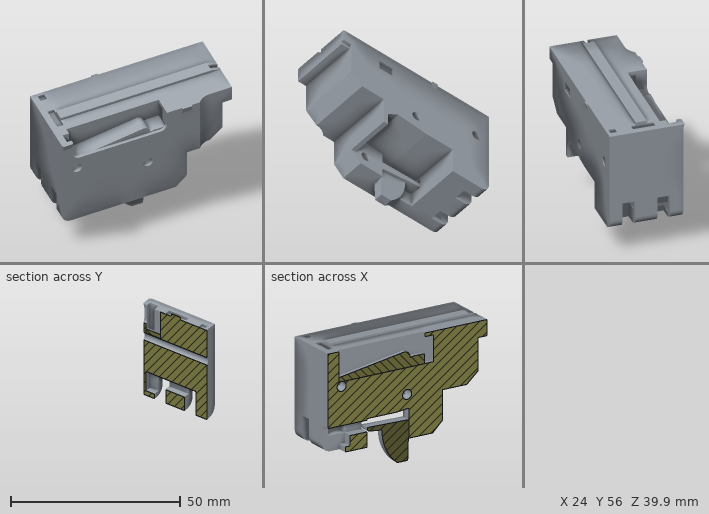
import cadquery as cq


width = 23.0
depth = 56.0
height = 32.1
wall = 1.0
front_wall = 2.1
rear_face_y = 53.0
lip_bottom_z = 26.9
lip_rebate_z = 27.9
rear_chamfer_run = 4.1
rear_chamfer_bottom_z = 12.95
rear_chamfer_top_z = 16.5
leg_back_y = 40.5
leg_chamfer_run = 3.6
leg_chamfer_z = 3.5
front_round = 3.0

bite_depth = 1.95
bite_start_y = 48.7
bite_end_y = 44.75

rail_x0 = 9.5
rail_x1 = 13.0
rail_height = 0.9
rail_front_y = 4.1
rail_ramp = 3.0
rail_slot_width = 1.35
rail_slot_depth = 1.0

top_pocket_depth = 1.0
label_pocket_x0 = 8.0
label_pocket_x1 = 15.0
square_pocket = 2.0

snap_reach = 0.5
snap_height = 2.0
left_snap_y = 21.05
left_snap_length = 2.0
right_snap_length = 3.1
right_snap_ys = (1.85, 40.5)

hole_radius = 1.5
cross_holes = ((4.9, 20.95), (27.95, 13.95))
window_y0 = 36.9
window_y1 = 42.1
window_z0 = 25.05
window_z1 = 28.0

recess_depth = 15.0
recess_front_y = 13.95
recess_top_z = 9.0
recess_peak_y = 35.05
recess_peak_z = 10.0
recess_bend_y = 24.0
recess_rear_y = 39.0
recess_rear_z = 7.7
pivot_z = 4.0
bay_back_y = 28.45

slot_width = 3.9
slot_height = 8.5
slot_depth = 6.15
cavity_back_y = 7.85
left_slot_x = 4.1
right_slot_x = recess_depth
ledge_z = 5.0
right_floor_z = 1.75

lever_x0 = 17.0
lever_x1 = width - wall
lever_nose_x0 = 18.9
lever_front_y = 4.1
lever_back_y = 34.05
lever_bottom_z = 22.5
lever_front_z = 23.95
lever_peak_y = 26.9
lever_peak_z = 27.55
lever_round = 2.2
lever_step_y = 30.3
lever_flat_z = 25.65
bay_window_x1 = 19.7
bay_window_top_z = 30.8
bay_window_depth = 3.0
notch_front_y = 3.6
notch_depth = 7.0
notch_round = 2.0

bar_top_front_z = 6.3
bar_top_back_z = 6.0
bar_bottom_front_z = 5.0
bar_bottom_back_z = 3.25
bar_toe_run = 0.35
bar_toe_rise = 0.5
fin_x0 = 15.85
fin_x1 = 18.75
fin_drop = 6.9
fin_tip_y = 24.5
fin_front_y = 19.05
fin_taper = 0.2
fin_arc_mid = (20.8, -2.6)


def box(x0, x1, y0, y1, z0, z1):
    return cq.Workplane("XY").box(x1 - x0, y1 - y0, z1 - z0, centered=False).translate((x0, y0, z0))


def side_plate(x0, x1, outline):
    """Extrude a closed (y, z) outline from x0 to x1."""
    return outline.close().extrude(x1 - x0).translate((x0, 0, 0))


def side_sketch(y, z):
    return cq.Workplane("YZ").moveTo(y, z)


def cross_cylinder(y, z, length):
    return side_sketch(y, z).circle(hole_radius).extrude(length)


def housing_shell():
    body = side_plate(0, width, (
        side_sketch(front_round, 0)
        .lineTo(leg_back_y - leg_chamfer_run, 0)
        .lineTo(leg_back_y, leg_chamfer_z)
        .lineTo(leg_back_y, rear_chamfer_bottom_z)
        .lineTo(rear_face_y - rear_chamfer_run, rear_chamfer_bottom_z)
        .lineTo(rear_face_y, rear_chamfer_top_z)
        .lineTo(rear_face_y, lip_bottom_z)
        .lineTo(depth, lip_bottom_z)
        .lineTo(depth, height)
        .lineTo(0, height)
        .lineTo(0, front_round)
        .radiusArc((front_round, 0), -front_round)
    ))
    return body.cut(box(0, wall, rear_face_y, depth, lip_bottom_z, lip_rebate_z))


def corner_bite():
    """Rear +X corner set back, blending out through a concave arc."""
    face_x = width - bite_depth
    arc_run = bite_start_y - bite_end_y
    radius = (arc_run**2 + bite_depth**2) / (2 * bite_depth)
    return (
        cq.Workplane("XY").moveTo(face_x, depth)
        .lineTo(face_x, bite_start_y)
        .radiusArc((width, bite_end_y), -radius)
        .lineTo(width, depth)
        .close().extrude(height)
    )


def rail():
    top = height + rail_height
    return side_plate(rail_x0, rail_x1, (
        side_sketch(rail_front_y, height)
        .lineTo(depth, height)
        .lineTo(depth - rail_ramp, top)
        .lineTo(rail_front_y, top)
    ))


def rail_slot():
    middle = (rail_x0 + rail_x1) / 2
    half = rail_slot_width / 2
    return box(middle - half, middle + half, depth - rail_ramp, depth,
               height - rail_slot_depth, height + rail_height)


def top_pockets():
    floor = height - top_pocket_depth
    label = box(label_pocket_x0, label_pocket_x1, front_wall, rail_front_y, floor, height)
    square = box(wall, wall + square_pocket, front_wall, front_wall + square_pocket, floor, height)
    return label.union(square)


def snap(wall_x, reach, middle_y, length):
    """Wedge on a side wall, widest at the top face; a negative reach points to -X."""
    return (
        cq.Workplane("XZ").moveTo(wall_x, height)
        .lineTo(wall_x + reach, height)
        .lineTo(wall_x, height - snap_height)
        .close().extrude(length)
        .translate((0, middle_y + length / 2, 0))
    )


def recess_cut(x_end):
    return side_plate(0, x_end, (
        side_sketch(recess_front_y, 0)
        .lineTo(recess_front_y, recess_top_z)
        .lineTo(recess_bend_y, recess_top_z)
        .lineTo(recess_peak_y, recess_peak_z)
        .lineTo(recess_rear_y, recess_rear_z)
        .lineTo(recess_rear_y, leg_chamfer_z)
        .lineTo(leg_back_y, leg_chamfer_z)
        .lineTo(leg_back_y, 0)
    ))


def side_recess():
    """Recess under the -X wall; its front part goes deeper to form the latch bay."""
    bay_floor_x = recess_depth + slot_width
    front_part = box(0, bay_floor_x, recess_front_y, bay_back_y, 0, height)
    latch_bay = recess_cut(bay_floor_x).intersect(front_part)
    pivot_hole = cross_cylinder(recess_peak_y, pivot_z, recess_depth + wall)
    return recess_cut(recess_depth).union(latch_bay).union(pivot_hole)


def front_slots():
    cuts = cq.Workplane("XY")
    for x in (left_slot_x, right_slot_x):
        cuts = cuts.union(box(x, x + slot_width, 0, slot_depth, 0, slot_height))
    left_cavity = box(left_slot_x, right_slot_x, front_wall, cavity_back_y, ledge_z, slot_height)
    right_cavity = box(right_slot_x, lever_x1, front_wall, cavity_back_y, right_floor_z, slot_height)
    latch_passage = box(right_slot_x, right_slot_x + slot_width, front_wall, recess_front_y,
                        ledge_z, slot_height)
    return cuts.union(left_cavity).union(right_cavity).union(latch_passage)


def lever_bay():
    bay = box(lever_x0, lever_x1, lever_front_y, lever_back_y, lever_bottom_z, height)
    nose_bay = box(lever_nose_x0, lever_x1, front_wall, lever_front_y, lever_bottom_z, height)
    rear_window = box(lever_x0, bay_window_x1, lever_back_y, lever_back_y + bay_window_depth,
                      lever_bottom_z, bay_window_top_z)
    notch_bottom = height - notch_depth
    wall_notch = (
        box(lever_x1, width, notch_front_y, lever_back_y, notch_bottom, height)
        .edges("|X and <Z").fillet(notch_round)
    )
    return bay.union(nose_bay).union(rear_window).union(wall_notch)


def make_housing():
    body = housing_shell().cut(corner_bite()).union(rail())
    body = body.union(snap(0, -snap_reach, left_snap_y, left_snap_length))
    for y in right_snap_ys:
        body = body.union(snap(width, snap_reach, y, right_snap_length))
    for feature in (rail_slot(), top_pockets(), side_recess(), front_slots(), lever_bay()):
        body = body.cut(feature)
    for y, z in cross_holes:
        body = body.cut(cross_cylinder(y, z, width))
    return body.cut(box(0, wall, window_y0, window_y1, window_z0, window_z1))


def make_lever():
    slope = (lever_peak_z - lever_front_z) / (lever_peak_y - lever_front_y)
    step_y = lever_peak_y + lever_round
    step_z = lever_flat_z - slope * (lever_step_y - step_y)
    body = side_plate(lever_x0, lever_x1, (
        side_sketch(lever_front_y, lever_bottom_z)
        .lineTo(lever_front_y, lever_front_z)
        .lineTo(lever_peak_y, lever_peak_z)
        .radiusArc((step_y, lever_peak_z - lever_round), lever_round)
        .lineTo(step_y, step_z)
        .lineTo(lever_step_y, lever_flat_z)
        .lineTo(lever_back_y, lever_flat_z)
        .lineTo(lever_back_y, lever_bottom_z)
    ))
    nose_radius = lever_front_z - lever_bottom_z
    nose = side_plate(lever_nose_x0, lever_x1, (
        side_sketch(lever_front_y, lever_front_z)
        .radiusArc((lever_front_y - nose_radius, lever_bottom_z), -nose_radius)
        .lineTo(lever_front_y, lever_bottom_z)
    ))
    return body.union(nose)


def make_latch():
    bar = side_plate(recess_depth, recess_depth + slot_width, (
        side_sketch(recess_front_y + bar_toe_run, bar_bottom_front_z)
        .lineTo(recess_front_y, bar_bottom_front_z + bar_toe_rise)
        .lineTo(recess_front_y, bar_top_front_z)
        .lineTo(bay_back_y, bar_top_back_z)
        .lineTo(bay_back_y, bar_bottom_back_z)
    ))
    fin = side_plate(fin_x0, fin_x1, (
        side_sketch(bay_back_y, bar_bottom_front_z)
        .lineTo(bay_back_y, 0)
        .lineTo(bay_back_y - fin_taper, -fin_drop)
        .lineTo(fin_tip_y, -fin_drop)
        .threePointArc(fin_arc_mid, (fin_front_y, bar_bottom_front_z))
    ))
    return bar.union(fin)


housing = make_housing()
lever = make_lever()
latch = make_latch()

result = cq.Compound.makeCompound([housing.val(), lever.val(), latch.val()])